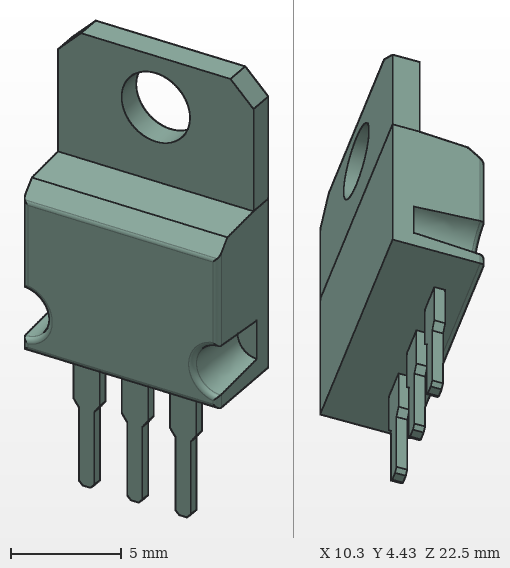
import cadquery as cq
import math


WIDTH = 10.3
DEPTH = 4.43
TOTAL_HEIGHT = 22.5

HOUSING_HEIGHT = 8.89
DRAFT_ANGLE = 5.0
TOP_BEVEL = 0.83
FRONT_FILLET = 0.27

NOTCH_FLOOR_RADIUS = 1.01
NOTCH_CENTRE_HEIGHT = 1.98
NOTCH_FLOOR_FROM_BACK = 1.01

LEAD_COUNT = 3
LEAD_LENGTH = 7.02
LEAD_PITCH = 2.55
LEAD_THICKNESS = 0.52
LEAD_FROM_BACK = 2.63
LEAD_WIDE_WIDTH = 1.4
LEAD_NARROW_WIDTH = 0.8
LEAD_WIDE_LENGTH = 2.56
LEAD_TAPER_LENGTH = 0.4
LEAD_TIP_CHAMFER = 0.2

TAB_THICKNESS = 1.3
TAB_CORNER_CHAMFER = 1.22
TAB_HOLE_DIAMETER = 3.6
TAB_HOLE_FROM_TOP = 2.7

DRAFT_SLOPE = math.tan(math.radians(DRAFT_ANGLE))
TAB_HEIGHT = TOTAL_HEIGHT - LEAD_LENGTH - HOUSING_HEIGHT


def make_housing_block():
    """Extruded side profile: flat seat for the tab, drafted top, 45 degree bevel."""
    bevel_start = DEPTH - TOP_BEVEL
    shoulder_height = HOUSING_HEIGHT - (bevel_start - TAB_THICKNESS) * DRAFT_SLOPE
    profile = [
        (0, 0),
        (0, HOUSING_HEIGHT),
        (-TAB_THICKNESS, HOUSING_HEIGHT),
        (-bevel_start, shoulder_height),
        (-DEPTH, shoulder_height - TOP_BEVEL),
        (-DEPTH, 0),
    ]
    return cq.Workplane("YZ").polyline(profile).close().extrude(WIDTH / 2, both=True)


def make_notch_cutter(side):
    """Cone centred on one side face, widening from the notch floor to the front face."""
    notch_depth = DEPTH - NOTCH_FLOOR_FROM_BACK
    mouth_radius = NOTCH_FLOOR_RADIUS + notch_depth * DRAFT_SLOPE
    half_section = [
        (0, -NOTCH_FLOOR_FROM_BACK),
        (side * NOTCH_FLOOR_RADIUS, -NOTCH_FLOOR_FROM_BACK),
        (side * mouth_radius, -DEPTH),
        (0, -DEPTH),
    ]
    return (
        cq.Workplane("XY", origin=(side * WIDTH / 2, 0, NOTCH_CENTRE_HEIGHT))
        .polyline(half_section)
        .close()
        .revolve(360, (0, 0), (0, 1))
    )


def make_lead(centre_x):
    """Flat lead, wide at the housing and narrow below, with a chamfered tip."""
    half_wide = LEAD_WIDE_WIDTH / 2
    half_narrow = LEAD_NARROW_WIDTH / 2
    half_tip = half_narrow - LEAD_TIP_CHAMFER
    taper_end = LEAD_WIDE_LENGTH + LEAD_TAPER_LENGTH
    right_edge = [
        (half_wide, 0),
        (half_wide, -LEAD_WIDE_LENGTH),
        (half_narrow, -taper_end),
        (half_narrow, LEAD_TIP_CHAMFER - LEAD_LENGTH),
        (half_tip, -LEAD_LENGTH),
    ]
    left_edge = [(-x, z) for x, z in reversed(right_edge)]
    return (
        cq.Workplane("XZ", origin=(centre_x, -LEAD_FROM_BACK, 0))
        .polyline(right_edge + left_edge)
        .close()
        .extrude(LEAD_THICKNESS)
    )


def make_housing():
    """Moulded housing in one piece with its leads."""
    body = make_housing_block()
    for side in (-1, 1):
        body = body.cut(make_notch_cutter(side))
    body = body.faces("<Y").edges().fillet(FRONT_FILLET)
    for index in range(LEAD_COUNT):
        centre_x = (index - (LEAD_COUNT - 1) / 2) * LEAD_PITCH
        body = body.union(make_lead(centre_x))
    return body


def make_tab():
    """Mounting tab standing on the housing, with chamfered top corners and a bolt hole."""
    hole_height = TAB_HEIGHT - TAB_HOLE_FROM_TOP
    plate = (
        cq.Workplane("XY", origin=(0, 0, HOUSING_HEIGHT))
        .box(WIDTH, TAB_THICKNESS, TAB_HEIGHT, centered=(True, False, False))
        .translate((0, -TAB_THICKNESS, 0))
        .edges("|Y and >Z")
        .chamfer(TAB_CORNER_CHAMFER)
    )
    hole = (
        cq.Workplane("XZ", origin=(0, 0, HOUSING_HEIGHT + hole_height))
        .circle(TAB_HOLE_DIAMETER / 2)
        .extrude(TAB_THICKNESS)
    )
    return plate.cut(hole)


housing = make_housing()
tab = make_tab()

result = cq.Compound.makeCompound([housing.val(), tab.val()])